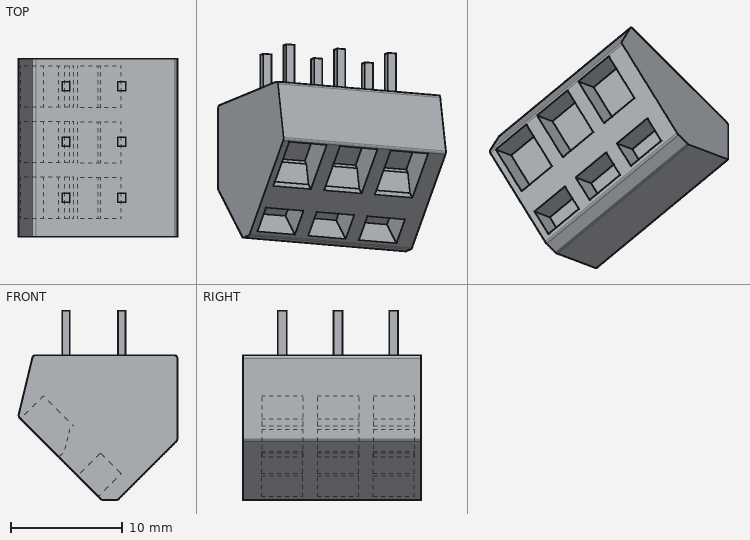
import cadquery as cq
import math


body_width = 14.26
body_length = 16.0
body_height = 13.0
top_left_x = 1.3
corner_overhang = 0.03
bottom_left_x = 7.46
bottom_right_x = 8.89
edge_radius = 0.3

pole_count = 3
pole_pitch = 5.0
last_pole_y = body_length - 2.46

pin_size_x = 0.7
pin_size_y = 0.82
pin_top_z = 17.0
pin_columns_x = (4.27, 4.27 + pole_pitch)

pocket_width = 3.69
pocket_depth = 2.9
lower_pocket_shift_y = -0.03
lower_pocket_z = (0.34, 2.2)
upper_pocket_z = (3.88, 7.31)
step_bottom_z = 4.39
step_top_z = 6.34

pole_ys = [last_pole_y - i * pole_pitch for i in range(pole_count)]
left_corner_z = bottom_left_x + corner_overhang
wall_lean = (top_left_x + corner_overhang) / (body_height - left_corner_z)


def slope_point(z, depth=0.0):
    """XZ point at a depth below the 45 degree face, measured from the face point at height z."""
    along = depth / math.sqrt(2)
    return (bottom_left_x - z + along, z + along)


def extrude_along_y(points, y_start, length):
    """Prism with the given XZ outline, running toward +Y from y_start."""
    return cq.Workplane("XZ", origin=(0, y_start, 0)).polyline(points).close().extrude(-length)


def make_body():
    outline = [
        (bottom_left_x, 0),
        (bottom_right_x, 0),
        (body_width, body_width - bottom_right_x),
        (body_width, body_height),
        (top_left_x, body_height),
        (-corner_overhang, left_corner_z),
    ]
    return extrude_along_y(outline, 0, body_length).edges("|Y").fillet(edge_radius)


def make_pins():
    centers = [(x, y) for x in pin_columns_x for y in pole_ys]
    return (
        cq.Workplane("XY", origin=(0, 0, body_height))
        .pushPoints(centers)
        .rect(pin_size_x, pin_size_y)
        .extrude(pin_top_z - body_height)
    )


def lower_pocket_outline():
    bottom_z, top_z = lower_pocket_z
    return [
        slope_point(bottom_z),
        slope_point(bottom_z, pocket_depth),
        slope_point(top_z, pocket_depth),
        slope_point(top_z),
    ]


def upper_pocket_outline():
    """Pocket whose floor climbs a step parallel to the leaning left wall."""
    bottom_z, top_z = upper_pocket_z
    mouth_x, _ = slope_point(bottom_z)
    step_bottom_x = mouth_x + step_bottom_z - bottom_z
    step_top_x = step_bottom_x + wall_lean * (step_top_z - step_bottom_z)
    end_sum = bottom_left_x + math.sqrt(2) * pocket_depth
    raised_run = (end_sum - step_top_x - step_top_z) / 2
    return [
        slope_point(bottom_z),
        (step_bottom_x, step_bottom_z),
        (step_top_x, step_top_z),
        (step_top_x + raised_run, step_top_z + raised_run),
        slope_point(top_z, pocket_depth),
        slope_point(top_z),
    ]


def make_pocket(outline, center_y):
    return extrude_along_y(outline, center_y - pocket_width / 2, pocket_width)


result = make_body().union(make_pins())
for pole_y in pole_ys:
    result = result.cut(make_pocket(lower_pocket_outline(), pole_y + lower_pocket_shift_y))
    result = result.cut(make_pocket(upper_pocket_outline(), pole_y))